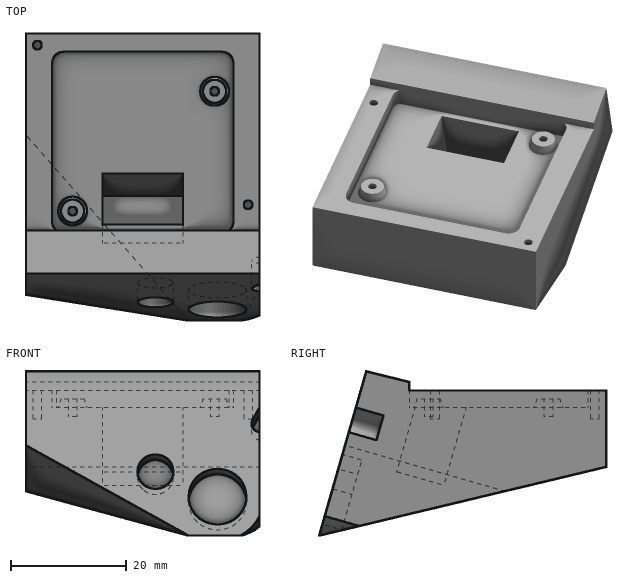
import cadquery as cq
import math


width = 40.5
length = 49.78
overall_height = 28.49
back_height = 13.28
deck_length = 34.15
step_height = 1.45
ridge_height = 3.3
face_tilt = math.radians(16)
ridge_drop = overall_height - ridge_height
peak_y = -(length - overall_height * math.tan(face_tilt))
face_length = overall_height / math.cos(face_tilt)

pocket_width = 31.4
pocket_depth = 3.0
pocket_back_wall = 3.2
pocket_radius = 2.0

standoff_base_diameter = 5.0
standoff_top_diameter = 4.0
standoff_height = 1.5
standoff_centers = [(8.1, -30.8), (32.7, -10.05)]
screw_diameter = 1.5
rim_screw_depth = 5.0
standoff_screw_depth = 3.0
rim_screw_centers = [(2.0, -2.05), (38.5, -29.7)]

window_width = 14.0
window_back_y = -24.3
window_opening = 8.85
window_depth = 14.0

large_hole = {"x": 33.2, "s": 22.6, "diameter": 10.0, "depth": 3.5}
small_hole = {"x": 22.45, "s": 18.1, "diameter": 6.2, "depth": 3.5}
side_slot = {"x": 40.7, "s": 9.4, "diameter": 3.2, "depth": 5.0}
side_slot_angle_degrees = 60
side_slot_travel = 10.0

corner_radius = 8.1
cut_width = 28.2
cut_angle = math.radians(30)


def tilted_plane(x, y, z):
    """Plane parallel to the front face: local x along X, local y up the face, normal outward."""
    normal = (0, -math.cos(face_tilt), math.sin(face_tilt))
    return cq.Plane(origin=(x, y, z), xDir=(1, 0, 0), normal=normal)


def front_face():
    """Workplane on the front face, with its origin at the left end of the top edge."""
    return cq.Workplane(tilted_plane(0, peak_y, ridge_height))


def make_body():
    """Side profile in (Y, Z), extruded across the width."""
    profile = [
        (0, 0),
        (0, -back_height),
        (-length, -ridge_drop),
        (peak_y, ridge_height),
        (-deck_length, step_height),
        (-deck_length, 0),
    ]
    return cq.Workplane("YZ").polyline(profile).close().extrude(width)


def left_corner_cut():
    """Wedge that removes the lower left corner, swept square to the front face."""
    cut_height = cut_width * math.tan(cut_angle)
    corners = [
        (-cut_width, -face_length + 2 * cut_height),
        (2 * cut_width, -face_length - cut_height),
        (-cut_width, -face_length - cut_height),
    ]
    return front_face().polyline(corners).close().extrude(-length)


def right_corner_cut():
    """Lower right corner outside a cylinder concentric with the large hole."""
    corner_x = large_hole["x"]
    corner_s = large_hole["s"]
    block = (
        front_face()
        .center(corner_x, -corner_s)
        .rect(2 * corner_radius, -2 * corner_radius, centered=False)
        .extrude(-length)
    )
    keep = front_face().center(corner_x, -corner_s).circle(corner_radius).extrude(-length)
    return block.cut(keep)


def face_hole(hole):
    """Flat-bottomed round hole square to the front face."""
    center = front_face().center(hole["x"], -hole["s"])
    return center.circle(hole["diameter"] / 2).extrude(-hole["depth"])


def side_slot_cut():
    """Slot that starts with a round end at the right side and runs up and out of the body."""
    middle = (
        front_face()
        .center(side_slot["x"], -side_slot["s"])
        .transformed(rotate=(0, 0, side_slot_angle_degrees))
        .center(side_slot_travel / 2, 0)
    )
    slot = middle.slot2D(side_slot_travel + side_slot["diameter"], side_slot["diameter"])
    return slot.extrude(-side_slot["depth"])


def make_pocket():
    """Pocket with rounded corners, ended by the upright step under the ridge."""
    outline = (
        cq.Workplane("XY")
        .workplane(offset=-pocket_depth)
        .center(width / 2, -pocket_back_wall - pocket_width / 2)
        .rect(pocket_width, pocket_width)
        .extrude(pocket_depth)
        .edges("|Z")
        .fillet(pocket_radius)
    )
    limit = cq.Workplane("XY").box(width, deck_length, 2 * pocket_depth, centered=(False, False, True))
    return outline.intersect(limit.translate((0, -deck_length, 0)))


def make_window():
    """Slanted box, trimmed at the pocket floor."""
    thickness = window_opening * math.cos(face_tilt)
    lead = window_opening
    box = (
        cq.Workplane(tilted_plane(width / 2, window_back_y, -pocket_depth))
        .center(0, (lead - window_depth) / 2)
        .rect(window_width, window_depth + lead)
        .extrude(thickness)
    )
    below_floor = (
        cq.Workplane("XY")
        .workplane(offset=-pocket_depth)
        .center(width / 2, -length / 2)
        .rect(width, length)
        .extrude(-overall_height)
    )
    return box.intersect(below_floor)


def make_standoffs():
    """Conical standoffs that narrow towards the top."""
    taper_inset = (standoff_base_diameter - standoff_top_diameter) / 2
    taper = math.atan(taper_inset / standoff_height)
    return (
        cq.Workplane("XY")
        .workplane(offset=-pocket_depth)
        .pushPoints(standoff_centers)
        .circle(standoff_base_diameter / 2)
        .extrude(standoff_height, taper=math.degrees(taper))
    )


def screw_holes(centers, top_z, depth):
    """Upright blind holes that start at height top_z."""
    plane = cq.Workplane("XY").workplane(offset=top_z)
    return plane.pushPoints(centers).circle(screw_diameter / 2).extrude(-depth)


result = make_body()
result = result.cut(left_corner_cut()).cut(right_corner_cut())
for hole in (large_hole, small_hole):
    result = result.cut(face_hole(hole))
result = result.cut(side_slot_cut())
result = result.cut(make_pocket()).cut(make_window())
result = result.union(make_standoffs())
result = result.cut(screw_holes(rim_screw_centers, 0, rim_screw_depth))
result = result.cut(screw_holes(standoff_centers, standoff_height - pocket_depth, standoff_screw_depth))